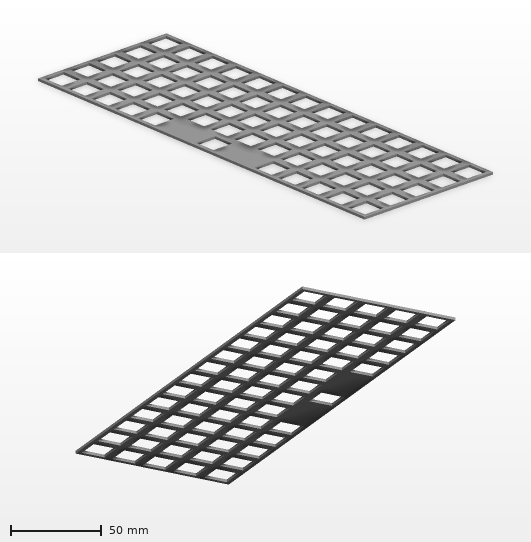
import cadquery as cq

KEY_PITCH = 19.05
COLUMNS = 14
ROWS = 5
PLATE_THICKNESS = 1.6
SWITCH_CUTOUT = 14.0

SPACE_BAR_UNITS = 4

PLATE_LENGTH = COLUMNS * KEY_PITCH
PLATE_WIDTH = ROWS * KEY_PITCH


def key_center(column, row):
    """Centre of a key unit; column 0 is at -X and row 0 is the front row at -Y."""
    x = (column + 0.5) * KEY_PITCH - PLATE_LENGTH / 2
    y = (row + 0.5) * KEY_PITCH - PLATE_WIDTH / 2
    return (x, y)


def switch_centers():
    """Centres of all switches: full rows, plus the front row with its space bar."""
    full_rows = [key_center(column, row) for row in range(1, ROWS) for column in range(COLUMNS)]

    keys_per_side = (COLUMNS - SPACE_BAR_UNITS) // 2
    left_columns = range(keys_per_side)
    right_columns = range(COLUMNS - keys_per_side, COLUMNS)
    front_row = [key_center(column, 0) for column in (*left_columns, *right_columns)]

    space_bar_column = (COLUMNS - 1) / 2
    space_bar = key_center(space_bar_column, 0)
    return full_rows + front_row + [space_bar]


def make_plate():
    """Flat plate centred on the origin."""
    return cq.Workplane("XY").box(PLATE_LENGTH, PLATE_WIDTH, PLATE_THICKNESS)


def cut_switches(plate):
    """Cut a square opening through the plate at every switch."""
    return (
        plate.faces(">Z")
        .workplane()
        .pushPoints(switch_centers())
        .rect(SWITCH_CUTOUT, SWITCH_CUTOUT)
        .cutThruAll()
    )


result = cut_switches(make_plate())